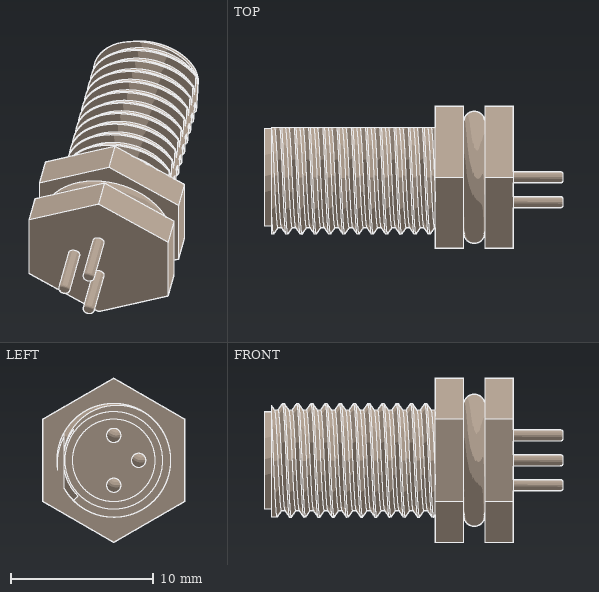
import cadquery as cq
import math

COLLAR_LENGTH = 0.5
FRONT_NUT_START = 12.0
NUT_THICKNESS = 2.0
O_RING_THICKNESS = 1.5
SOLDER_PIN_LENGTH = 3.5
FRONT_NUT_END = FRONT_NUT_START + NUT_THICKNESS
REAR_NUT_START = FRONT_NUT_END + O_RING_THICKNESS
REAR_NUT_END = REAR_NUT_START + NUT_THICKNESS
OVERALL_LENGTH = REAR_NUT_END + SOLDER_PIN_LENGTH

THREAD_RADIUS = 4.0
THREAD_PITCH = 1.0
THREAD_DEPTH = 0.45
THREAD_TURNS = 12
THREAD_START_X = 0.465
THREAD_START_ANGLE = -45.0
CREST_WIDTH = THREAD_PITCH / 8
ROOT_WIDTH = THREAD_PITCH / 4
GROOVE_OVERSHOOT = 0.1
FLAT_DISTANCE = 3.5
COLLAR_RADIUS = 3.43
BORE_RADIUS = 2.9
BORE_DEPTH = 8.0

HEX_ACROSS_FLATS = 10.0
O_RING_OUTER_RADIUS = 4.65

CONTACT_CIRCLE_RADIUS = 1.75
CONTACT_ANGLES = (90.0, 180.0, 270.0)
MATING_PIN_RADIUS = 0.5
MATING_PIN_TIP_X = 0.4
SOLDER_PIN_RADIUS = 0.4
SOLDER_PIN_FILLET = 0.2

JOIN_OVERLAP = 0.4


def cylinder(start_x, end_x, radius, y=0.0, z=0.0):
    """Cylinder parallel to X between two stations."""
    return cq.Workplane("YZ", origin=(start_x, y, z)).circle(radius).extrude(end_x - start_x)


def hexagon(start_x):
    """Hexagonal prism with its corners up and down and flats facing +Y and -Y."""
    across_corners = HEX_ACROSS_FLATS / math.cos(math.radians(30))
    return (
        cq.Workplane("YZ", origin=(start_x, 0, 0))
        .transformed(rotate=(0, 0, 90))
        .polygon(6, across_corners)
        .extrude(NUT_THICKNESS)
    )


def thread_groove():
    """Right-handed V groove with a flat root, wound around X and ending inside the front nut."""
    root_radius = THREAD_RADIUS - THREAD_DEPTH
    outer_radius = THREAD_RADIUS + GROOVE_OVERSHOOT
    root_half = ROOT_WIDTH / 2
    mouth_half = (THREAD_PITCH - CREST_WIDTH) / 2
    flank_slope = (mouth_half - root_half) / THREAD_DEPTH
    outer_half = mouth_half + flank_slope * GROOVE_OVERSHOOT

    helix = cq.Wire.makeHelix(THREAD_PITCH, THREAD_PITCH * THREAD_TURNS, root_radius)
    groove = (
        cq.Workplane("XZ")
        .polyline([
            (root_radius, -root_half),
            (outer_radius, -outer_half),
            (outer_radius, outer_half),
            (root_radius, root_half),
        ])
        .close()
        .sweep(cq.Workplane(obj=helix), isFrenet=True)
    )
    return (
        groove.rotate((0, 0, 0), (0, 0, 1), THREAD_START_ANGLE)
        .rotate((0, 0, 0), (1, 1, 1), 120)
        .translate((THREAD_START_X, 0, 0))
    )


def threaded_sleeve():
    """Threaded cylinder with a plain front collar and a keying flat on its +Y side."""
    thread = cylinder(COLLAR_LENGTH, REAR_NUT_START, THREAD_RADIUS).cut(thread_groove())
    flat_cutter = cq.Workplane("XY").box(
        FRONT_NUT_START, THREAD_RADIUS, 2 * THREAD_RADIUS, centered=(False, False, True)
    ).translate((0, FLAT_DISTANCE, 0))
    collar = cylinder(0, COLLAR_LENGTH + JOIN_OVERLAP, COLLAR_RADIUS)
    return thread.cut(flat_cutter).union(collar)


def o_ring():
    """Round-section ring filling the gap between the two hexagons."""
    section_radius = O_RING_THICKNESS / 2
    ring = cq.Solid.makeTorus(
        O_RING_OUTER_RADIUS - section_radius,
        section_radius,
        cq.Vector(FRONT_NUT_END + section_radius, 0, 0),
        cq.Vector(1, 0, 0),
    )
    return cq.Workplane(obj=ring)


def mating_pin(y, z):
    """Pin standing on the bore floor with a hemispherical tip."""
    centre_x = MATING_PIN_TIP_X + MATING_PIN_RADIUS
    tip = cq.Workplane("XY").sphere(MATING_PIN_RADIUS).translate((centre_x, y, z))
    return cylinder(centre_x, BORE_DEPTH + JOIN_OVERLAP, MATING_PIN_RADIUS, y, z).union(tip)


def solder_pin(y, z):
    """Thinner pin behind the rear hexagon with a rounded end."""
    root_x = REAR_NUT_END - JOIN_OVERLAP
    pin = cylinder(root_x, OVERALL_LENGTH, SOLDER_PIN_RADIUS, y, z)
    return pin.faces(">X").edges().fillet(SOLDER_PIN_FILLET)


front_nut = hexagon(FRONT_NUT_START).cut(cylinder(FRONT_NUT_START, FRONT_NUT_END, THREAD_RADIUS))
rear_nut = hexagon(REAR_NUT_START)
result = threaded_sleeve().union(front_nut).union(rear_nut).union(o_ring())
result = result.cut(cylinder(0, BORE_DEPTH, BORE_RADIUS))

for angle in CONTACT_ANGLES:
    contact_y = CONTACT_CIRCLE_RADIUS * math.cos(math.radians(angle))
    contact_z = CONTACT_CIRCLE_RADIUS * math.sin(math.radians(angle))
    result = result.union(mating_pin(contact_y, contact_z))
    result = result.union(solder_pin(contact_y, contact_z))